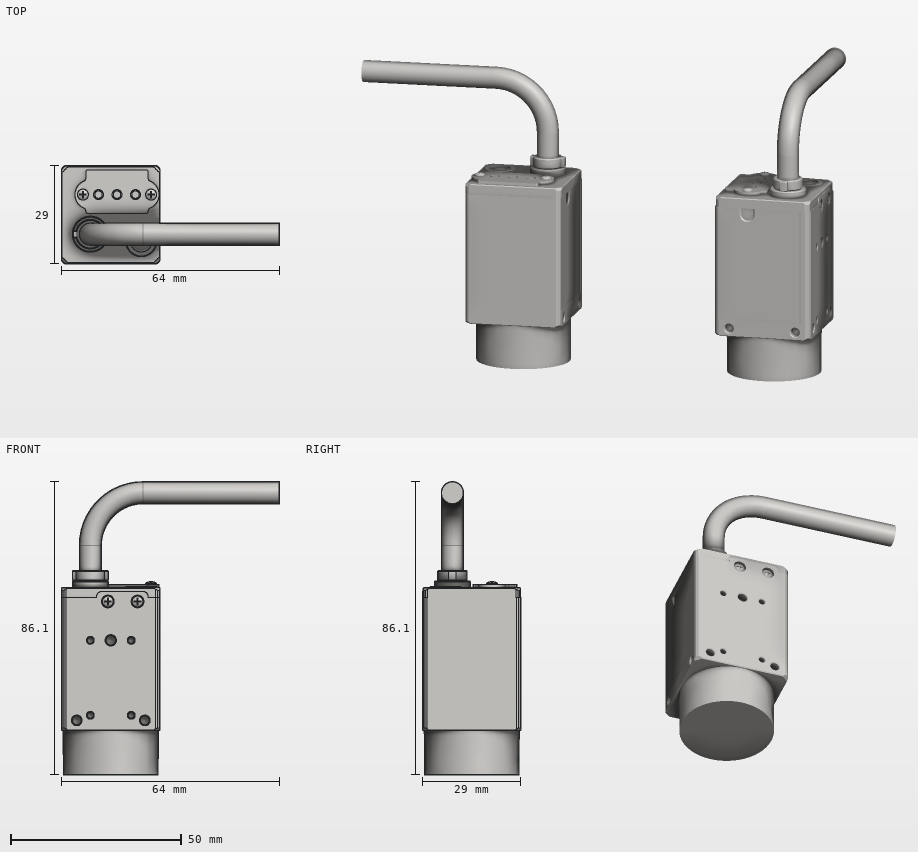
import cadquery as cq
import math

BODY_WIDTH = 29.0
BODY_HEIGHT = 42.0
HALF_WIDTH = BODY_WIDTH / 2
CORNER_CHAMFER = 1.0
CORNER_SOFTENING = 0.35
RIM_CHAMFER = 0.25
CORNER_TIP_CHAMFER = 0.8

CAP_HEIGHT = 3.0
CAP_SETBACK = 0.2
CAP_SEAM_Z = BODY_HEIGHT - CAP_HEIGHT

TONGUE_LEFT_X = -4.2
TONGUE_RIGHT_X = 11.0
TONGUE_TOP_Z = BODY_HEIGHT - 1.1
TONGUE_RADIUS = 1.7

PANEL_DEPTH = 0.1
PANEL_BOTTOM_Z = 5.1
PANEL_FRONT_Y = -11.2
GROOVE_WIDTH = 0.65
GROOVE_DEPTH = 0.2

NOTCH_Y = 4.5
NOTCH_RADIUS = 2.35
NOTCH_CENTRE_Z = 37.2
NOTCH_DEPTH = 0.5
NOTCH_TAPER = 45.0

LENS_HEIGHT = 13.0
LENS_TOP_RADIUS = 14.0
LENS_BOTTOM_RADIUS = 13.9

OVERALL_HEIGHT = 86.08
OVERALL_LENGTH = 63.97
CABLE_X = -6.0
CABLE_Y = -5.7
CABLE_RADIUS = 3.25
CABLE_BEND_RADIUS = 15.5
CABLE_AXIS_Z = OVERALL_HEIGHT - LENS_HEIGHT - CABLE_RADIUS
CABLE_END_X = OVERALL_LENGTH - HALF_WIDTH
FLANGE_RADIUS = 5.3
FLANGE_HEIGHT = 1.95
FLANGE_CHAMFER = 0.3
NUT_RADIUS = 4.35
NUT_HEIGHT = 3.1
NUT_CHAMFER = 0.3
EAR_WIDTH = 2.2

SOCKET_X = 8.95
SOCKET_Y = -7.7
SOCKET_RADIUS = 4.6
SOCKET_RISE = 0.3
SOCKET_CHAMFER = 0.2
SOCKET_BORE_RADIUS = 3.2
SOCKET_BORE_DEPTH = 0.5
BUTTON_RADIUS = 2.6
BUTTON_RISE = 0.45

PLATE_X = 1.83
PLATE_Y = 6.8
PLATE_LENGTH = 18.3
PLATE_WIDTH = 12.8
PLATE_THICKNESS = 0.9
PLATE_CORNER_RADIUS = 0.7
PLATE_ROW_Y = 5.92
LOBE_RADIUS = 4.3
LOBE_SPACING = 16.1
LOBE_BLEND_RADIUS = 0.9
PLATE_SCREW_SPACING = 20.0
PLATE_SCREW_RADIUS = 1.6
PLATE_SCREW_RISE = 0.85
LIGHT_SPACING = 5.43
LIGHT_COUNT = 3
LIGHT_RADIUS = 1.45
LIGHT_LENS_RADIUS = 1.1
LIGHT_GROOVE_DEPTH = 0.4

SCREW_RIM_HEIGHT = 0.3
CROSS_SLOT_WIDTH = 0.3
CROSS_SLOT_DEPTH = 0.4
CROSS_SLOT_SPAN = 0.6

FRONT_SCREW_XS = (-0.87, 7.85)
FRONT_SCREW_Z = 37.9
FRONT_SCREW_RADIUS = 1.6
FRONT_SCREW_RISE = 0.85
FRONT_COUNTERBORE_RADIUS = 1.85
FRONT_COUNTERBORE_DEPTH = 1.0

DRILL_POINT_ANGLE = 118.0
HOLE_CHAMFER = 0.25
HOLE_DEPTH = 3.0
UPPER_HOLE_Z = 26.5
LOWER_HOLE_Z = 4.5
SMALL_HOLE_RADIUS = 0.9
SMALL_HOLE_SPACING = 12.0
TRIPOD_HOLE_RADIUS = 1.4
CORNER_HOLE_RADIUS = 1.3
CORNER_HOLE_SPACING = 20.0
FRONT_CORNER_HOLE_Z = 3.0
SIDE_CORNER_HOLE_Z = 2.4

UP = cq.Vector(0, 0, 1)
FRONT = cq.Vector(0, -1, 0)
LEFT = cq.Vector(-1, 0, 0)


def placed(shape, point, direction):
    """Move a shape built along +Z so that its axis leaves the point along a level direction."""
    plane = cq.Plane(origin=point, xDir=UP.cross(direction), normal=direction)
    return cq.Workplane("XY").newObject([shape.val().moved(plane.location)])


def mirrored_pair(spacing):
    return (-spacing / 2, spacing / 2)


def tongue():
    length = TONGUE_RIGHT_X - TONGUE_LEFT_X
    height = TONGUE_TOP_Z - CAP_SEAM_Z
    return (
        cq.Workplane("XY")
        .box(length, HALF_WIDTH, height, centered=(False, False, False))
        .edges("|Y and >Z")
        .fillet(TONGUE_RADIUS)
        .translate((TONGUE_LEFT_X, -HALF_WIDTH, CAP_SEAM_Z))
    )


def bevelled_block(depth, bottom_z, top_z):
    """Block as wide as the housing, with the four upright corners cut off and softened."""
    block = cq.Workplane("XY").box(BODY_WIDTH, depth, top_z - bottom_z, centered=(True, True, False))
    block = block.edges("|Z").chamfer(CORNER_CHAMFER)
    block = block.edges("|Z").chamfer(CORNER_SOFTENING)
    return block.translate((0, 0, bottom_z))


def corner_tip_envelope(depth):
    """Square turned by 45 degrees that bevels the ends of the housing's corner faces."""
    side = (BODY_WIDTH + depth - 2 * CORNER_CHAMFER) / math.sqrt(2)
    envelope = cq.Workplane("XY").box(side, side, BODY_HEIGHT, centered=(True, True, False))
    return envelope.edges("#Z").chamfer(CORNER_TIP_CHAMFER).rotate((0, 0, 0), (0, 0, 1), 45)


def housing():
    cap_depth = BODY_WIDTH - 2 * CAP_SETBACK
    lower = bevelled_block(BODY_WIDTH, 0, CAP_SEAM_Z).faces("<Z").chamfer(RIM_CHAMFER)
    cap = bevelled_block(cap_depth, CAP_SEAM_Z, BODY_HEIGHT).faces(">Z").chamfer(RIM_CHAMFER)
    lower = lower.intersect(corner_tip_envelope(BODY_WIDTH))
    cap = cap.intersect(corner_tip_envelope(cap_depth))
    return lower.union(cap).union(tongue())


def side_panel_cut():
    height = CAP_SEAM_Z - PANEL_BOTTOM_Z
    panel = cq.Workplane("XY").box(
        PANEL_DEPTH, HALF_WIDTH - PANEL_FRONT_Y, height, centered=(False, False, False)
    )
    groove = cq.Workplane("XY").box(GROOVE_DEPTH, GROOVE_WIDTH, height, centered=(False, False, False))
    panel = panel.translate((-HALF_WIDTH, PANEL_FRONT_Y, PANEL_BOTTOM_Z))
    return panel.union(groove.translate((-HALF_WIDTH, PANEL_FRONT_Y - GROOVE_WIDTH, PANEL_BOTTOM_Z)))


def thumb_notch_cut():
    """U-shaped pocket with sloped walls, open upward to the cap seam."""
    top = CAP_SEAM_Z + NOTCH_RADIUS
    pocket = (
        cq.Workplane("YZ", origin=(-HALF_WIDTH, 0, 0))
        .moveTo(NOTCH_Y - NOTCH_RADIUS, top)
        .lineTo(NOTCH_Y - NOTCH_RADIUS, NOTCH_CENTRE_Z)
        .threePointArc((NOTCH_Y, NOTCH_CENTRE_Z - NOTCH_RADIUS), (NOTCH_Y + NOTCH_RADIUS, NOTCH_CENTRE_Z))
        .lineTo(NOTCH_Y + NOTCH_RADIUS, top)
        .close()
        .extrude(NOTCH_DEPTH, taper=NOTCH_TAPER)
    )
    below_cap = cq.Workplane("XY").box(
        BODY_WIDTH * 2, BODY_WIDTH, CAP_SEAM_Z, centered=(True, True, False)
    )
    return pocket.intersect(below_cap)


def drilled_hole(radius):
    """Chamfered blind hole with a drill point, going down from Z = 0."""
    point_depth = radius / math.tan(math.radians(DRILL_POINT_ANGLE / 2))
    return (
        cq.Workplane("XZ")
        .lineTo(radius + HOLE_CHAMFER, 0)
        .lineTo(radius, -HOLE_CHAMFER)
        .lineTo(radius, -HOLE_DEPTH)
        .lineTo(0, -HOLE_DEPTH - point_depth)
        .close()
        .revolve()
    )


def dome(radius, rise):
    """Spherical cap standing on Z = 0."""
    sphere_radius = (radius**2 + rise**2) / (2 * rise)
    half_angle = math.asin(radius / sphere_radius) / 2
    centre_z = rise - sphere_radius
    middle = (sphere_radius * math.sin(half_angle), centre_z + sphere_radius * math.cos(half_angle))
    return (
        cq.Workplane("XZ")
        .lineTo(radius, 0)
        .threePointArc(middle, (0, rise))
        .close()
        .revolve()
    )


def screw_head(radius, rise):
    """Domed screw head on a short upright rim, with a cross recess, standing on Z = 0."""
    span = 2 * radius * CROSS_SLOT_SPAN
    slot = cq.Workplane("XY").box(span, CROSS_SLOT_WIDTH, 2 * CROSS_SLOT_DEPTH).translate((0, 0, rise))
    crossing_slot = slot.rotate((0, 0, 0), (0, 0, 1), 90)
    rim = cq.Workplane("XY").circle(radius).extrude(SCREW_RIM_HEIGHT)
    head = rim.union(dome(radius, rise - SCREW_RIM_HEIGHT).translate((0, 0, SCREW_RIM_HEIGHT)))
    return head.cut(slot).cut(crossing_slot)


def hole_cuts():
    """All drilled holes of the front and -X faces."""
    cuts = [placed(drilled_hole(TRIPOD_HOLE_RADIUS), (0, -HALF_WIDTH, UPPER_HOLE_Z), FRONT)]
    for x in mirrored_pair(SMALL_HOLE_SPACING):
        for z in (LOWER_HOLE_Z, UPPER_HOLE_Z):
            cuts.append(placed(drilled_hole(SMALL_HOLE_RADIUS), (x, -HALF_WIDTH, z), FRONT))
    for offset in mirrored_pair(CORNER_HOLE_SPACING):
        corner_hole = drilled_hole(CORNER_HOLE_RADIUS)
        cuts.append(placed(corner_hole, (offset, -HALF_WIDTH, FRONT_CORNER_HOLE_Z), FRONT))
        cuts.append(placed(corner_hole, (-HALF_WIDTH, offset, SIDE_CORNER_HOLE_Z), LEFT))
    return cuts


def add_front_screws(body):
    floor_y = -HALF_WIDTH + FRONT_COUNTERBORE_DEPTH
    counterbore = cq.Workplane("XY").circle(FRONT_COUNTERBORE_RADIUS).extrude(FRONT_COUNTERBORE_DEPTH)
    head = screw_head(FRONT_SCREW_RADIUS, FRONT_SCREW_RISE)
    for x in FRONT_SCREW_XS:
        seat = (x, floor_y, FRONT_SCREW_Z)
        body = body.cut(placed(counterbore, seat, FRONT)).union(placed(head, seat, FRONT))
    return body


def lens_barrel():
    return (
        cq.Workplane("XZ")
        .moveTo(0, -LENS_HEIGHT)
        .lineTo(LENS_BOTTOM_RADIUS, -LENS_HEIGHT)
        .lineTo(LENS_TOP_RADIUS, 0)
        .lineTo(0, 0)
        .close()
        .revolve()
    )


def gland():
    """Round flange carrying a nut with an ear on either side along X."""
    flange = cq.Workplane("XY").circle(FLANGE_RADIUS).extrude(FLANGE_HEIGHT)
    flange = flange.faces(">Z").chamfer(FLANGE_CHAMFER)
    nut = cq.Workplane("XY").circle(NUT_RADIUS).extrude(NUT_HEIGHT)
    ears = (
        cq.Workplane("XY")
        .rect(2 * FLANGE_RADIUS, EAR_WIDTH)
        .extrude(NUT_HEIGHT)
        .intersect(cq.Workplane("XY").circle(FLANGE_RADIUS).extrude(NUT_HEIGHT))
    )
    nut = nut.union(ears).faces(">Z or <Z").chamfer(NUT_CHAMFER)
    nut = nut.translate((0, 0, FLANGE_HEIGHT))
    return flange.union(nut).translate((CABLE_X, CABLE_Y, BODY_HEIGHT))


def cable():
    """Round cable rising from the gland and bending over toward +X."""
    bend_start_z = CABLE_AXIS_Z - CABLE_BEND_RADIUS
    bend_end_x = CABLE_X + CABLE_BEND_RADIUS
    diagonal = CABLE_BEND_RADIUS * math.sqrt(0.5)
    path = (
        cq.Workplane("XZ", origin=(0, CABLE_Y, 0))
        .moveTo(CABLE_X, BODY_HEIGHT)
        .lineTo(CABLE_X, bend_start_z)
        .threePointArc((bend_end_x - diagonal, bend_start_z + diagonal), (bend_end_x, CABLE_AXIS_Z))
        .lineTo(CABLE_END_X, CABLE_AXIS_Z)
    )
    section = cq.Workplane("XY", origin=(CABLE_X, CABLE_Y, BODY_HEIGHT)).circle(CABLE_RADIUS)
    return section.sweep(path)


def add_socket(body):
    rim_z = BODY_HEIGHT + SOCKET_RISE
    floor_z = rim_z - SOCKET_BORE_DEPTH
    rim = cq.Workplane("XY").circle(SOCKET_RADIUS).extrude(SOCKET_RISE).faces(">Z").chamfer(SOCKET_CHAMFER)
    bore = cq.Workplane("XY").circle(SOCKET_BORE_RADIUS).extrude(SOCKET_BORE_DEPTH)
    button = dome(BUTTON_RADIUS, BUTTON_RISE)
    body = body.union(rim.translate((SOCKET_X, SOCKET_Y, BODY_HEIGHT)))
    body = body.cut(bore.translate((SOCKET_X, SOCKET_Y, floor_z)))
    return body.union(button.translate((SOCKET_X, SOCKET_Y, floor_z)))


def indicator_plate():
    """Plate with rounded end lobes, two screws and a row of round indicator lights."""
    middle = cq.Workplane("XY").center(PLATE_X, PLATE_Y).rect(PLATE_LENGTH, PLATE_WIDTH)
    plate = middle.extrude(PLATE_THICKNESS).edges("|Z").fillet(PLATE_CORNER_RADIUS)
    lobes = (
        cq.Workplane("XY")
        .pushPoints([(PLATE_X + dx, PLATE_ROW_Y) for dx in mirrored_pair(LOBE_SPACING)])
        .circle(LOBE_RADIUS)
        .extrude(PLATE_THICKNESS)
    )
    plate = plate.union(lobes)
    reach = PLATE_LENGTH / 2
    lobe_half_height = math.sqrt(LOBE_RADIUS**2 - (reach - LOBE_SPACING / 2) ** 2)
    for side_x in (-reach, reach):
        for side_y in (-lobe_half_height, lobe_half_height):
            junction = (PLATE_X + side_x, PLATE_ROW_Y + side_y, PLATE_THICKNESS / 2)
            plate = plate.edges(cq.NearestToPointSelector(junction)).fillet(LOBE_BLEND_RADIUS)
    for index in range(LIGHT_COUNT):
        x = PLATE_X + (index - (LIGHT_COUNT - 1) / 2) * LIGHT_SPACING
        ring = cq.Workplane("XY").circle(LIGHT_RADIUS).circle(LIGHT_LENS_RADIUS).extrude(LIGHT_GROOVE_DEPTH)
        plate = plate.cut(ring.translate((x, PLATE_ROW_Y, PLATE_THICKNESS - LIGHT_GROOVE_DEPTH)))
    head = screw_head(PLATE_SCREW_RADIUS, PLATE_SCREW_RISE)
    for dx in mirrored_pair(PLATE_SCREW_SPACING):
        plate = plate.union(head.translate((PLATE_X + dx, PLATE_ROW_Y, PLATE_THICKNESS)))
    return plate.translate((0, 0, BODY_HEIGHT))


camera = housing().cut(side_panel_cut()).cut(thumb_notch_cut())
for hole in hole_cuts():
    camera = camera.cut(hole)
camera = add_front_screws(camera)
camera = camera.union(lens_barrel())
camera = camera.union(indicator_plate())
camera = add_socket(camera)
result = camera.union(gland()).union(cable())